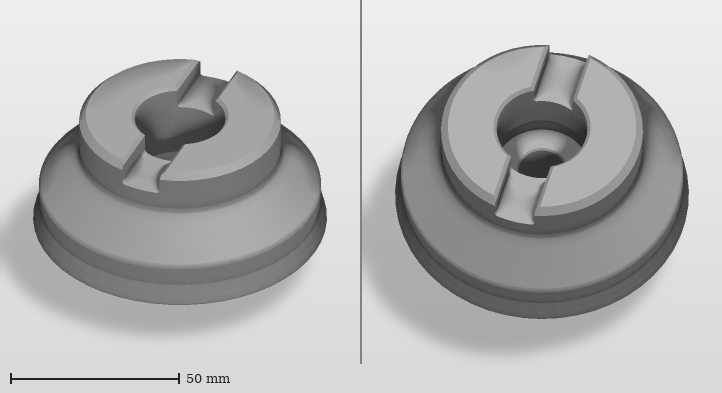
import cadquery as cq

height = 50.0
rim_radius = 43.65

collar_radius = 60.0 / 2
collar_chamfer = 2.0
band_radius = 84.0 / 2
shoulder_top = 37.0
shoulder_bottom = shoulder_top - (band_radius - collar_radius)
shoulder_fillet = 2.0
edge_margin = 0.1

ring_top = 19.3
flank_start = 18.5
flank_bend_top = 15.2
flank_bend_bottom = 14.7
flank_bend_radius = 42.9
flank_bend_lower_radius = 43.0
rim_top = 12.6
rim_bottom = 12.2
seat_radius = collar_radius

base_radius = 17.3
base_edge_radius = 17.7
base_edge_height = 0.3
underside_slope = (rim_bottom - base_edge_height) / (rim_radius - base_edge_radius)
seat_bottom = base_edge_height + underside_slope * (seat_radius - base_edge_radius)

bore_radius = 27.0 / 2
bore_chamfer = 1.0
relief_radius = 28.0 / 2
relief_top = 32.1
bore_floor = 26.2
hole_radius = 14.0 / 2
hole_chamfer = 0.5

slot_width = 12.2
slot_depth = 7.1
slot_chamfer = 1.05
slot_fillet = 1.05


def revolve(profile):
    """Turn a closed (radius, height) profile around the Z axis."""
    return profile.close().revolve(360, (0, 0, 0), (0, 1, 0))


def make_hub_blank():
    """Turned hub with a shoulder rounded at both ends and a spigot for the ring."""
    profile = (
        cq.Workplane("XZ")
        .lineTo(base_radius, 0)
        .lineTo(base_edge_radius, base_edge_height)
        .lineTo(seat_radius, seat_bottom)
        .lineTo(seat_radius, ring_top)
        .lineTo(band_radius, ring_top)
        .lineTo(band_radius, shoulder_bottom)
        .lineTo(collar_radius, shoulder_top)
        .lineTo(collar_radius, height - collar_chamfer)
        .lineTo(collar_radius - collar_chamfer, height)
        .lineTo(0, height)
    )
    blank = revolve(profile)
    shoulder_edges = blank.edges(
        cq.selectors.BoxSelector(
            (-rim_radius, -rim_radius, shoulder_bottom - edge_margin),
            (rim_radius, rim_radius, shoulder_top + edge_margin),
        )
    ).edges("%CIRCLE")
    return shoulder_edges.fillet(shoulder_fillet)


def make_bore():
    """Chamfered bore with a wider relief above its flat floor, and a chamfered hole through the base."""
    return revolve(
        cq.Workplane("XZ")
        .lineTo(hole_radius, 0)
        .lineTo(hole_radius, bore_floor - hole_chamfer)
        .lineTo(hole_radius + hole_chamfer, bore_floor)
        .lineTo(relief_radius, bore_floor)
        .lineTo(relief_radius, relief_top)
        .lineTo(bore_radius, relief_top)
        .lineTo(bore_radius, height - bore_chamfer)
        .lineTo(bore_radius + bore_chamfer, height)
        .lineTo(0, height)
    )


def make_slot():
    """Slot with rounded floor corners and chamfered top edges."""
    half_width = slot_width / 2
    floor = height - slot_depth
    outline = (
        cq.Workplane("XZ")
        .moveTo(-half_width - slot_chamfer, height)
        .lineTo(-half_width, height - slot_chamfer)
        .lineTo(-half_width, floor + slot_fillet)
        .radiusArc((-half_width + slot_fillet, floor), -slot_fillet)
        .lineTo(half_width - slot_fillet, floor)
        .radiusArc((half_width, floor + slot_fillet), -slot_fillet)
        .lineTo(half_width, height - slot_chamfer)
        .lineTo(half_width + slot_chamfer, height)
        .close()
    )
    return outline.extrude(rim_radius, both=True)


def make_hub():
    """Hub body with its bore and driving slot."""
    return make_hub_blank().cut(make_bore()).cut(make_slot())


def make_ring():
    """Flared ring seated on the spigot, under the hub band."""
    return revolve(
        cq.Workplane("XZ")
        .moveTo(seat_radius, seat_bottom)
        .lineTo(rim_radius, rim_bottom)
        .lineTo(rim_radius, rim_top)
        .lineTo(flank_bend_lower_radius, flank_bend_bottom)
        .lineTo(flank_bend_radius, flank_bend_top)
        .lineTo(band_radius, flank_start)
        .lineTo(band_radius, ring_top)
        .lineTo(seat_radius, ring_top)
    )


hub = make_hub()
ring = make_ring()
result = cq.Compound.makeCompound([hub.val(), ring.val()])